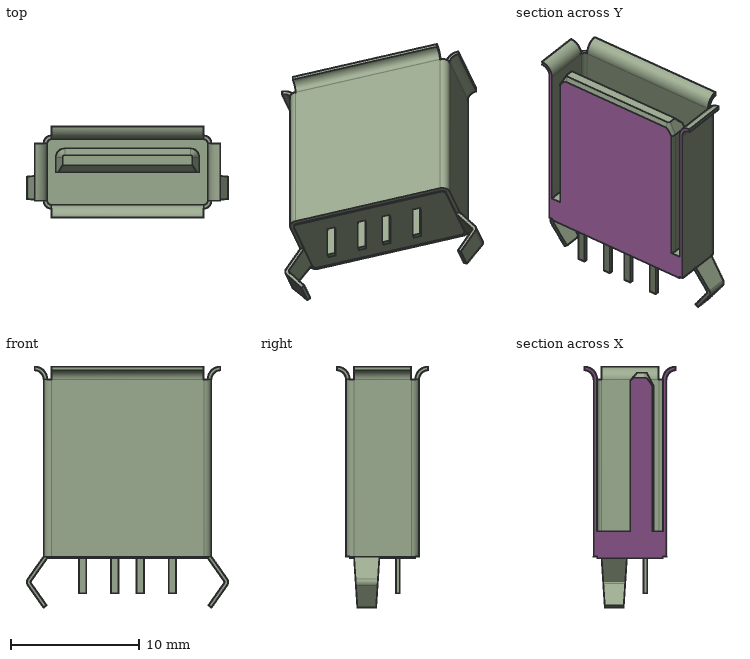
import cadquery as cq
import math


wall = 0.3
shell_x = 13.1
shell_y = 5.72
shell_height = 13.83
corner_radius = 0.62
cavity_x = shell_x - 2 * wall
cavity_y = shell_y - 2 * wall
cavity_corner_radius = corner_radius - wall

lip_height = 1.0
lip_inner_radius = lip_height - wall
lip_length_x = shell_x - 2 * corner_radius
lip_length_y = shell_y - 2 * corner_radius

base_drop = 0.13
base_floor = 2.0

tongue_x = 11.18
tongue_back = 1.84
tongue_front = 0.0
tongue_corner_radius = 0.68
tongue_recess = 0.5
tongue_top = shell_height + lip_height - tongue_recess
rim_bevel = 0.53
rim_bevel_height = 1.0
front_bevel = 0.54
front_bevel_height = 0.62

pin_width = 0.6
pin_thickness = 0.3
pin_y = 1.2
pin_drop = 2.87
pin_positions = [-3.5, -1.0, 1.0, 3.5]

spring_drop = 3.97
spring_elbow_drop = spring_drop / 2
spring_reach = 1.3
spring_corner_reach = 1.4
spring_angle = math.atan(spring_corner_reach / spring_elbow_drop)
spring_bend_radius = (spring_corner_reach - spring_reach) / (1 / math.cos(spring_angle) - 1)
spring_y = -1.23
spring_top_width = 2.0
spring_tip_width = 1.48


def rounded_block(size_x, size_y, radius, bottom, top):
    """Upright block centred on the Z axis with rounded vertical edges."""
    block = cq.Workplane("XY").workplane(offset=bottom).rect(size_x, size_y).extrude(top - bottom)
    return block.edges("|Z").fillet(radius)


def make_shell():
    outside = rounded_block(shell_x, shell_y, corner_radius, 0, shell_height)
    cavity = rounded_block(cavity_x, cavity_y, cavity_corner_radius, 0, shell_height)
    return outside.cut(cavity)


def make_lip(half_width, length):
    """Lip on the +X side, bending outward from a wall whose outer face is at half_width."""
    center_x = half_width + lip_inner_radius
    diagonal = math.cos(math.radians(45))
    lip_top = shell_height + lip_height
    profile = (
        cq.Workplane("XZ", origin=(0, length / 2, 0))
        .moveTo(half_width - wall, shell_height)
        .threePointArc(
            (center_x - lip_height * diagonal, shell_height + lip_height * diagonal),
            (center_x, lip_top),
        )
        .lineTo(center_x, lip_top - wall)
        .threePointArc(
            (center_x - lip_inner_radius * diagonal, shell_height + lip_inner_radius * diagonal),
            (half_width, shell_height),
        )
        .close()
    )
    return profile.extrude(length)


def make_base():
    return rounded_block(cavity_x, cavity_y, cavity_corner_radius, -base_drop, base_floor)


def tongue_segment(bottom, height, taper):
    """Rounded-corner block reaching past the tongue's front face, drawn in by taper degrees."""
    front = tongue_front - front_bevel - rim_bevel
    half_x = tongue_x / 2
    side_end = tongue_back - tongue_corner_radius
    return (
        cq.Workplane("XY", origin=(0, 0, bottom))
        .moveTo(-half_x, front)
        .lineTo(half_x, front)
        .lineTo(half_x, side_end)
        .radiusArc((half_x - tongue_corner_radius, tongue_back), -tongue_corner_radius)
        .lineTo(-half_x + tongue_corner_radius, tongue_back)
        .radiusArc((-half_x, side_end), -tongue_corner_radius)
        .close()
        .extrude(height, taper=taper)
    )


def make_tongue():
    """Tongue bevelled around its sides and back, and at a different slope along its front."""
    bevel_start = tongue_top - rim_bevel_height
    bevel_angle = math.degrees(math.atan(rim_bevel / rim_bevel_height))
    body = tongue_segment(base_floor, bevel_start - base_floor, 0)
    body = body.union(tongue_segment(bevel_start, rim_bevel_height, bevel_angle))
    side_profile = [
        (tongue_front, base_floor),
        (tongue_back, base_floor),
        (tongue_back, tongue_top),
        (tongue_front + front_bevel, tongue_top),
        (tongue_front, tongue_top - front_bevel_height),
    ]
    envelope = cq.Workplane("YZ").polyline(side_profile).close().extrude(tongue_x, both=True)
    return body.intersect(envelope)


def make_pin(x):
    length = pin_drop + base_floor
    return (
        cq.Workplane("XY", origin=(x, pin_y, -pin_drop))
        .rect(pin_width, pin_thickness)
        .extrude(length)
    )


def make_spring():
    """Elbow-shaped spring on the +X side, narrowing toward its tip."""
    thickness_x = wall / math.cos(spring_angle)
    root_x = shell_x / 2
    elbow_x = root_x + spring_corner_reach
    inner_elbow_x = elbow_x - thickness_x
    inner_tip_x = root_x - wall * math.cos(spring_angle)
    inner_tip_z = -spring_drop + wall * math.sin(spring_angle)
    strip = (
        cq.Workplane("XZ")
        .moveTo(root_x, 0)
        .lineTo(elbow_x, -spring_elbow_drop)
        .lineTo(root_x, -spring_drop)
        .lineTo(inner_tip_x, inner_tip_z)
        .lineTo(inner_elbow_x, -spring_elbow_drop)
        .lineTo(root_x - thickness_x, 0)
        .close()
        .extrude(shell_y, both=True)
        .edges("|Y and >X")
        .fillet(spring_bend_radius)
    )
    inner_bend = cq.selectors.NearestToPointSelector((inner_elbow_x, 0, -spring_elbow_drop))
    strip = strip.edges("|Y").edges(inner_bend).fillet(spring_bend_radius - wall)
    taper = (
        cq.Workplane("YZ")
        .moveTo(spring_y - spring_top_width / 2, 0)
        .lineTo(spring_y + spring_top_width / 2, 0)
        .lineTo(spring_y + spring_tip_width / 2, -spring_drop)
        .lineTo(spring_y - spring_tip_width / 2, -spring_drop)
        .close()
        .extrude(shell_x)
    )
    return strip.intersect(taper)


result = make_shell().union(make_base()).union(make_tongue())

side_lip = make_lip(shell_x / 2, lip_length_y)
face_lip = make_lip(shell_y / 2, lip_length_x).rotate((0, 0, 0), (0, 0, 1), 90)
spring = make_spring()
for feature in (side_lip, spring):
    result = result.union(feature).union(feature.mirror("YZ"))
result = result.union(face_lip).union(face_lip.mirror("XZ"))

for pin_x in pin_positions:
    result = result.union(make_pin(pin_x))